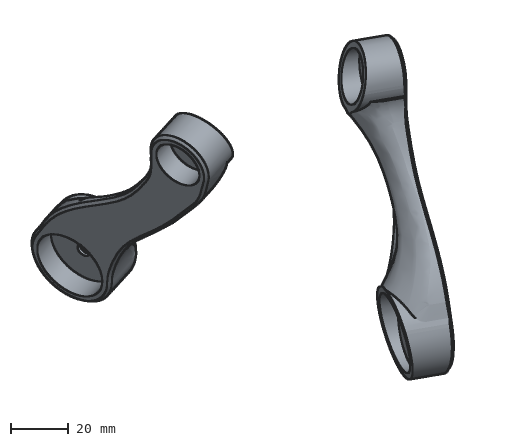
import cadquery as cq
import math


length = 106.7
large_diameter = 33.4
small_diameter = 24.2
large_radius = large_diameter / 2
small_radius = small_diameter / 2
arm_tilt = math.radians(60)
large_x = large_radius
large_z = large_radius
small_z = length - small_radius
small_x = large_x + (small_z - large_z) / math.tan(arm_tilt)

blank_depth = 26.7
front_chamfer = 1.2

end_thickness = 13.3
large_slope = 5.7 / large_diameter
small_slope = 5.2 / small_diameter

large_front_diameter = 27.1
large_back_diameter = 28.8
small_front_diameter = 17.9
small_back_diameter = 19.3
pocket_depth = 8.5
floor_thickness = 1.5
hole_diameter = 4.9

wall_middle = 1.3
wall_large_end = 10.7
wall_small_end = 7.5
shoulder_middle = 5.5
shoulder_rise = 9.6
shoulder_inset = 2.7
ridge_middle = 9.0
ridge_large_end = 34.2
ridge_small_end = 26.7
wall_power = 2.0
ridge_power = 2.5
overhang = 0.05
section_count = 9


def direction(degrees):
    """Unit direction in the XZ plane, measured counter-clockwise from +X."""
    angle = math.radians(degrees)
    return (math.cos(angle), math.sin(angle))


def on_boss(x, z, radius, degrees):
    """Point on a boss circle."""
    across, up = direction(degrees)
    return (x + radius * across, z + radius * up)


def vector(point):
    """XZ point or direction as a vector in the plane of the front face."""
    x, z = point
    return cq.Vector(x, 0, z)


large_left_angle = 154
small_right_angle = -9
small_left_run = 4.8

left_bottom = on_boss(large_x, large_z, large_radius, large_left_angle)
left_top = (small_x - small_radius, small_z - small_left_run)
right_bottom = (large_x + large_radius, large_z)
right_top = on_boss(small_x, small_z, small_radius, small_right_angle)

left_side = [left_bottom, (7.4, 35.3), (18.0, 47.6), (31.0, 57.9), (40.2, 66.8), (47.5, 79.0), left_top]
right_side = [right_bottom, (35.1, 27.1), (40.2, 39.4), (50.0, 51.7), (59.9, 63.9), (68.0, 76.2), right_top]


def side_curve(points, start_angle, end_angle):
    """Curved side of the arm, running upward from the large boss to the small one."""
    tangents = [direction(start_angle), direction(end_angle)]
    return cq.Edge.makeSpline([vector(p) for p in points], [vector(t) for t in tangents])


left_curve = side_curve(left_side, large_left_angle - 90, 90)
right_curve = side_curve(right_side, 90, small_right_angle + 90)


def make_blank():
    """Full outline, extruded toward +Y, with the front edge chamfered."""
    small_left = (small_x - small_radius, small_z)
    small_top = (small_x, length)
    large_foot = (large_x, 0)
    outline = cq.Wire.assembleEdges([
        left_curve,
        cq.Edge.makeLine(vector(left_top), vector(small_left)),
        cq.Edge.makeThreePointArc(vector(small_left), vector(small_top), vector(right_top)),
        right_curve,
        cq.Edge.makeThreePointArc(vector(right_bottom), vector(large_foot), vector(left_bottom)),
    ])
    solid = cq.Solid.extrudeLinear(outline, [], cq.Vector(0, blank_depth, 0))
    return cq.Workplane(obj=solid).faces("<Y").chamfer(front_chamfer)


def arm_section(fraction):
    """Domed cross section at a fraction of the way from the large to the small boss."""
    left = left_curve.positionAt(fraction)
    right = right_curve.positionAt(fraction)
    across = (right - left).normalized()
    left = left - across * overhang
    right = right + across * overhang

    toward_large = fraction < 0.5
    wall_end = wall_large_end if toward_large else wall_small_end
    ridge_end = ridge_large_end if toward_large else ridge_small_end
    reach = abs(2 * fraction - 1)

    def height(middle, end, power):
        return cq.Vector(0, middle + (end - middle) * reach ** power, 0)

    wall = height(wall_middle, wall_end, wall_power)
    shoulder = height(shoulder_middle, wall_end + shoulder_rise, wall_power)
    ridge = height(ridge_middle, ridge_end, ridge_power)
    inset = across * shoulder_inset
    dome_points = [
        left + wall,
        left + inset + shoulder,
        (left + right) * 0.5 + ridge,
        right - inset + shoulder,
        right + wall,
    ]
    return cq.Wire.assembleEdges([
        cq.Edge.makeLine(left, left + wall),
        cq.Edge.makeSpline(dome_points, [cq.Vector(0, 1, 0), cq.Vector(0, -1, 0)]),
        cq.Edge.makeLine(right + wall, right),
        cq.Edge.makeLine(right, left),
    ])


def make_arm():
    """Scooped, domed arm lofted from boss to boss."""
    sections = [arm_section(i / (section_count - 1)) for i in range(section_count)]
    return cq.Workplane(obj=cq.Solid.makeLoft(sections))


def disc(x, z, diameter, start, depth):
    """Round disc from y = start toward +Y; the XZ workplane normal points to -Y."""
    flat = cq.Workplane("XZ", origin=(x, start, z)).circle(diameter / 2)
    return flat.extrude(-depth)


def slope_cutter(z_outer, z_inner, slope):
    """Block behind a back face that gains thickness from z_outer toward z_inner."""
    inner_thickness = end_thickness + slope * abs(z_inner - z_outer)
    behind = inner_thickness + blank_depth
    points = [
        (end_thickness, z_outer),
        (inner_thickness, z_inner),
        (behind, z_inner),
        (behind, z_outer),
    ]
    return cq.Workplane("YZ").polyline(points).close().extrude(length)


envelope = make_arm()
for x, z, radius in ((large_x, large_z, large_radius), (small_x, small_z, small_radius)):
    envelope = envelope.union(disc(x, z, 2 * (radius + overhang), 0, blank_depth))
result = make_blank().intersect(envelope)

result = result.cut(slope_cutter(0, length, large_slope))
result = result.cut(slope_cutter(length, 0, small_slope))

for x, z, front_diameter, back_diameter in (
    (large_x, large_z, large_front_diameter, large_back_diameter),
    (small_x, small_z, small_front_diameter, small_back_diameter),
):
    result = result.cut(disc(x, z, front_diameter, 0, pocket_depth))
    result = result.cut(disc(x, z, back_diameter, pocket_depth + floor_thickness, blank_depth))
    result = result.cut(disc(x, z, hole_diameter, 0, blank_depth))